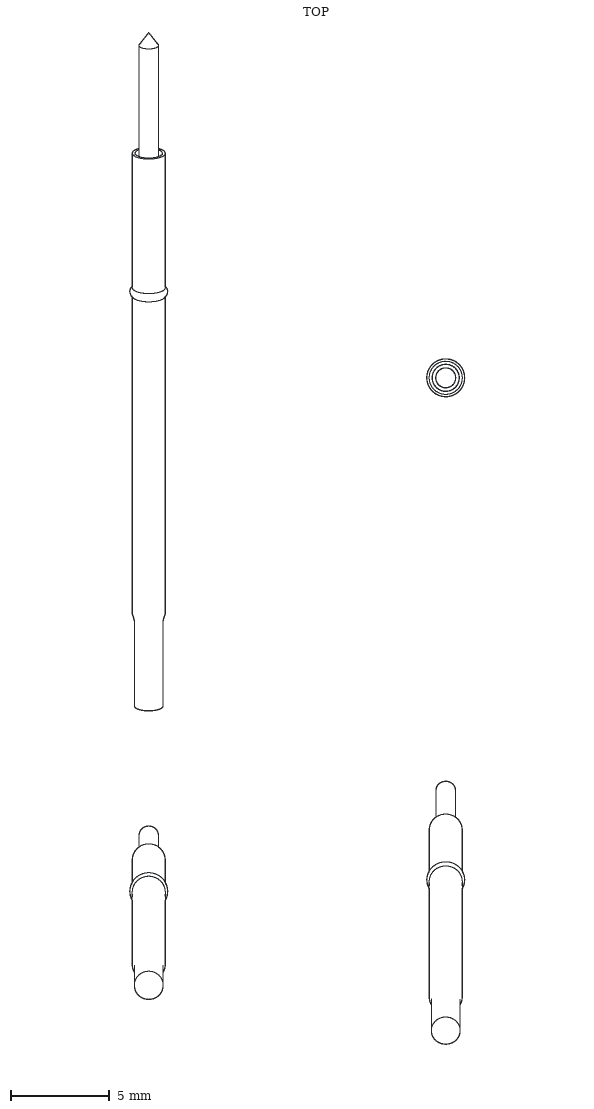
import cadquery as cq
import math

total_height = 36.55
sleeve_diameter = 1.68
sleeve_top = 30.0
tail_diameter = 1.47
tail_length = 4.64
tail_taper_height = 0.36
bore_diameter = 1.38

ring_diameter = 1.93
ring_bottom = 22.25
ring_crest = 22.5
ring_top = 22.7
ring_bulge = 0.03

barrel_diameter = 1.36
barrel_recess = 0.5
plunger_diameter = 1.0
tip_height = 0.7

clearance_diameter = 1.02
clearance_depth = 0.5

sleeve_bottom = tail_length + tail_taper_height
bore_floor = sleeve_bottom
barrel_top = sleeve_top - barrel_recess
clearance_floor = barrel_top - clearance_depth
tip_base = total_height - tip_height


def revolve_around_axis(profile):
    """Turn a closed half-profile in the XZ plane around the Z axis."""
    return profile.revolve(360, (0, 0, 0), (0, 1, 0))


def bulged_midpoint(start, end):
    """Middle of the arc from start up to end that bows away from the axis by the ring bulge."""
    run = end[0] - start[0]
    rise = end[1] - start[1]
    chord = math.hypot(run, rise)
    mid_radius = (start[0] + end[0]) / 2 + ring_bulge * rise / chord
    mid_height = (start[1] + end[1]) / 2 - ring_bulge * run / chord
    return (mid_radius, mid_height)


def make_receptacle():
    sleeve_radius = sleeve_diameter / 2
    tail_radius = tail_diameter / 2
    bore_radius = bore_diameter / 2
    ring_start = (sleeve_radius, ring_bottom)
    ring_peak = (ring_diameter / 2, ring_crest)
    ring_end = (sleeve_radius, ring_top)

    profile = (
        cq.Workplane("XZ")
        .lineTo(tail_radius, 0)
        .lineTo(tail_radius, tail_length)
        .lineTo(sleeve_radius, sleeve_bottom)
        .lineTo(*ring_start)
        .threePointArc(bulged_midpoint(ring_start, ring_peak), ring_peak)
        .threePointArc(bulged_midpoint(ring_peak, ring_end), ring_end)
        .lineTo(sleeve_radius, sleeve_top)
        .lineTo(bore_radius, sleeve_top)
        .lineTo(bore_radius, bore_floor)
        .lineTo(0, bore_floor)
        .close()
    )
    return revolve_around_axis(profile)


def make_probe():
    barrel_radius = barrel_diameter / 2
    plunger_radius = plunger_diameter / 2
    clearance_radius = clearance_diameter / 2

    profile = (
        cq.Workplane("XZ")
        .moveTo(0, bore_floor)
        .lineTo(barrel_radius, bore_floor)
        .lineTo(barrel_radius, barrel_top)
        .lineTo(clearance_radius, barrel_top)
        .lineTo(clearance_radius, clearance_floor)
        .lineTo(plunger_radius, clearance_floor)
        .lineTo(plunger_radius, tip_base)
        .lineTo(0, total_height)
        .close()
    )
    return revolve_around_axis(profile)


receptacle = make_receptacle()
probe = make_probe()

result = cq.Compound.makeCompound([receptacle.val(), probe.val()])